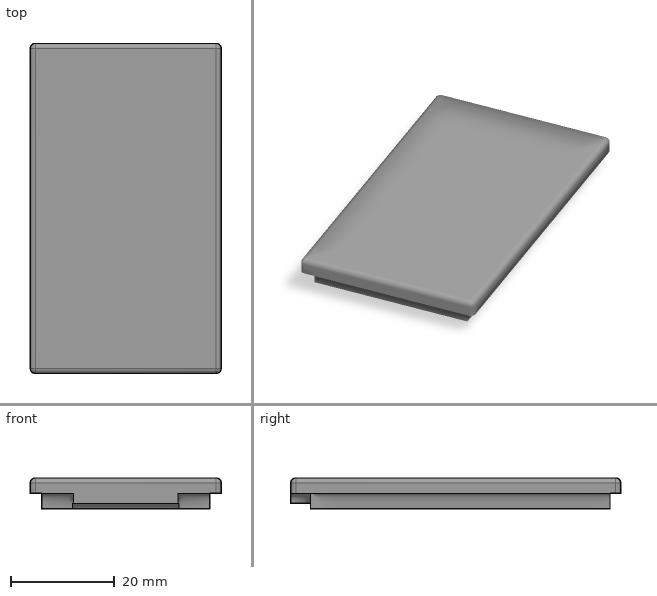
import cadquery as cq

plate_width = 36.8
plate_length = 63.55
total_height = 6.0
plate_thickness = total_height / 2
edge_radius = 1.0

block_height = total_height - plate_thickness
block_side_inset = 2.2
block_back_inset = 2.1
block_front_inset = 3.8
block_width = plate_width - 2 * block_side_inset
block_length = plate_length - block_front_inset - block_back_inset

tab_width = 20.0
tab_thickness = 1.9
tab_bottom = block_height - tab_thickness

notch_width = 20.45
notch_depth = block_front_inset

plate_front = -plate_length / 2
block_front = plate_front + block_front_inset


def box_from_front(width, length, height, front, bottom):
    """Box centred in X, starting at the given front Y and bottom Z."""
    return (
        cq.Workplane("XY")
        .box(width, length, height, centered=(True, False, False))
        .translate((0, front, bottom))
    )


plate = box_from_front(plate_width, plate_length, plate_thickness, plate_front, block_height)
plate = plate.edges("|Z or >Z").fillet(edge_radius)

block = box_from_front(block_width, block_length, block_height, block_front, 0)
notch = box_from_front(notch_width, notch_depth, tab_bottom, block_front, 0)
tab = box_from_front(tab_width, block_front_inset, tab_thickness, plate_front, tab_bottom)

result = plate.union(block.cut(notch)).union(tab)